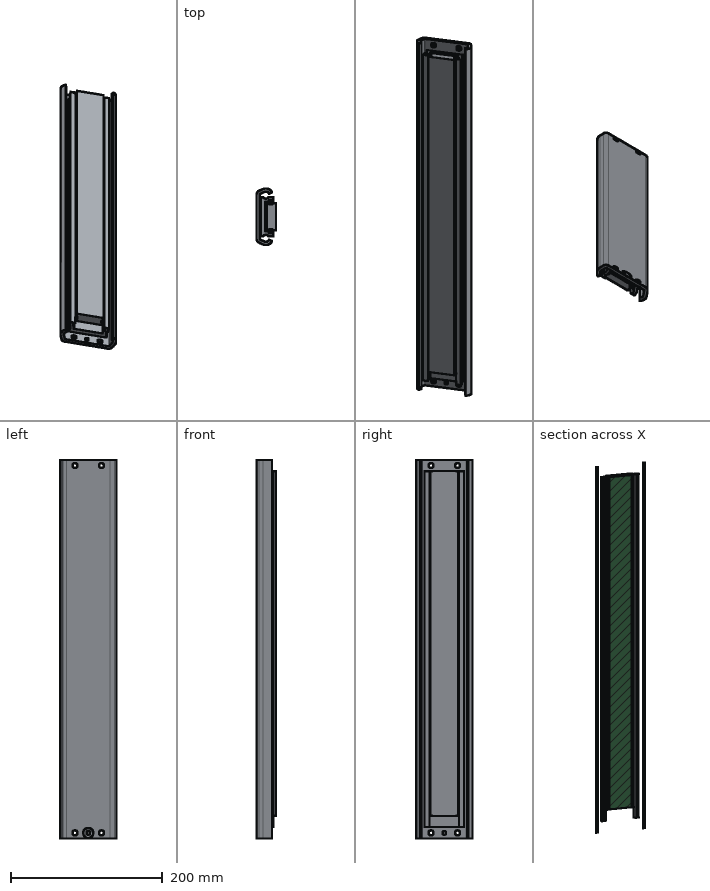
import cadquery as cq
import math

LENGTH = 500.0
DEPTH = 26.0
HALF_HEIGHT = 37.5
SIDES = (1, -1)

OUTER_WALL = 4.5
OUTER_WEB_HALF = 29.0
SHOULDER_SLOPE = math.radians(24)
LIP_X = 12.5
LIP_RADIUS = 9.0
LIP_Y = HALF_HEIGHT - LIP_RADIUS
LIP_END_ANGLE = math.radians(24)

HOLE_DIAMETER = 6.5
HOLE_SPACING = 35.0
HOLE_FROM_END = 7.5
SINK_DIAMETER = 13.5
SINK_DEPTH = 3.0
SINK_HOLE_DIAMETER = 4.5

MIDDLE_BOTTOM = 15.0
RAIL_TOP = LENGTH - MIDDLE_BOTTOM
INNER_BOTTOM = 30.0

MIDDLE_BACK = 6.0
MIDDLE_FRONT = 22.5
MIDDLE_WEB = 6.0
MIDDLE_HALF = 26.0
CHANNEL_HALF = 19.5
OUTSIDE_GROOVE_RADIUS = 4.5

INNER_BACK = 13.5
INNER_HALF = 18.0

TRACK_X = 19.0
TRACK_Y = 19.0
TRACK_RADIUS = 3.0


def prism(x_start, x_end, y_start, y_end, z_start, z_end):
    """Upright block between the given coordinates."""
    size = (x_end - x_start, y_end - y_start, z_end - z_start)
    return cq.Workplane("XY").box(*size, centered=False).translate((x_start, y_start, z_start))


def rod(x, y, radius, z_start, z_end):
    """Upright round rod."""
    return cq.Workplane("XY", origin=(x, y, z_start)).circle(radius).extrude(z_end - z_start)


def polar(centre, radius, angle):
    """Point at an angle from +X on a circle."""
    return (centre[0] + radius * math.cos(angle), centre[1] + radius * math.sin(angle))


def outer_flange_profile():
    """Corner, shoulder and lip on the +Y side, closed along the middle plane by half the web."""
    normal = SHOULDER_SLOPE + math.pi / 2
    crown = math.pi / 2
    corner_middle = (math.pi + normal) / 2
    lip = (LIP_X, LIP_Y)

    shoulder_offset = LIP_X * math.cos(normal) + LIP_Y * math.sin(normal) + LIP_RADIUS
    corner_radius = (shoulder_offset - OUTER_WEB_HALF * math.sin(normal)) / (1 + math.cos(normal))
    corner = (corner_radius, OUTER_WEB_HALF)

    inner_corner_radius = corner_radius - OUTER_WALL
    inner_lip_radius = LIP_RADIUS - OUTER_WALL
    return (
        cq.Workplane("XY")
        .moveTo(0, 0)
        .lineTo(0, OUTER_WEB_HALF)
        .threePointArc(polar(corner, corner_radius, corner_middle), polar(corner, corner_radius, normal))
        .lineTo(*polar(lip, LIP_RADIUS, normal))
        .threePointArc(polar(lip, LIP_RADIUS, crown), polar(lip, LIP_RADIUS, LIP_END_ANGLE))
        .lineTo(*polar(lip, inner_lip_radius, LIP_END_ANGLE))
        .threePointArc(polar(lip, inner_lip_radius, crown), polar(lip, inner_lip_radius, normal))
        .lineTo(*polar(corner, inner_corner_radius, normal))
        .threePointArc(
            polar(corner, inner_corner_radius, corner_middle), (OUTER_WALL, OUTER_WEB_HALF)
        )
        .lineTo(OUTER_WALL, 0)
        .close()
    )


def web_hole(y, z, diameter):
    """Cutter for a round hole through the outer rail's web."""
    return cq.Workplane("YZ").center(y, z).circle(diameter / 2).extrude(OUTER_WALL)


def make_outer_rail():
    half = outer_flange_profile().extrude(LENGTH)
    rail = half.union(half.mirror("XZ"))
    for z in (HOLE_FROM_END, LENGTH - HOLE_FROM_END):
        for side in SIDES:
            rail = rail.cut(web_hole(side * HOLE_SPACING / 2, z, HOLE_DIAMETER))

    countersink = cq.Solid.makeCone(
        SINK_DIAMETER / 2,
        SINK_HOLE_DIAMETER / 2,
        SINK_DEPTH,
        pnt=cq.Vector(0, 0, HOLE_FROM_END),
        dir=cq.Vector(1, 0, 0),
    )
    return rail.cut(web_hole(0, HOLE_FROM_END, SINK_HOLE_DIAMETER)).cut(cq.Workplane(countersink))


def make_middle_rail():
    span = (MIDDLE_BOTTOM, RAIL_TOP)
    rail = prism(MIDDLE_BACK, MIDDLE_FRONT, -MIDDLE_HALF, MIDDLE_HALF, *span)
    channel = prism(MIDDLE_BACK + MIDDLE_WEB, MIDDLE_FRONT, -CHANNEL_HALF, CHANNEL_HALF, *span)
    rail = rail.cut(channel)
    for side in SIDES:
        rail = rail.cut(rod(LIP_X, side * LIP_Y, OUTSIDE_GROOVE_RADIUS, *span))
        rail = rail.cut(rod(TRACK_X, side * TRACK_Y, TRACK_RADIUS, *span))
    return rail


def make_inner_rail():
    span = (INNER_BOTTOM, RAIL_TOP)
    rail = prism(INNER_BACK, DEPTH, -INNER_HALF, INNER_HALF, *span)
    for side in SIDES:
        rail = rail.cut(rod(TRACK_X, side * TRACK_Y, TRACK_RADIUS, *span))
    return rail


def make_strip(side):
    """Half-round strip with its flat face on the track's axis and its round face in the bar."""
    span = (INNER_BOTTOM, RAIL_TOP)
    inward_half = prism(INNER_BACK, DEPTH, 0, TRACK_Y, *span)
    strip = rod(TRACK_X, TRACK_Y, TRACK_RADIUS, *span).intersect(inward_half)
    return strip if side > 0 else strip.mirror("XZ")


outer_rail = make_outer_rail()
middle_rail = make_middle_rail()
inner_rail = make_inner_rail()
strips = [make_strip(side).val() for side in SIDES]

result = cq.Compound.makeCompound([outer_rail.val(), middle_rail.val(), inner_rail.val(), *strips])